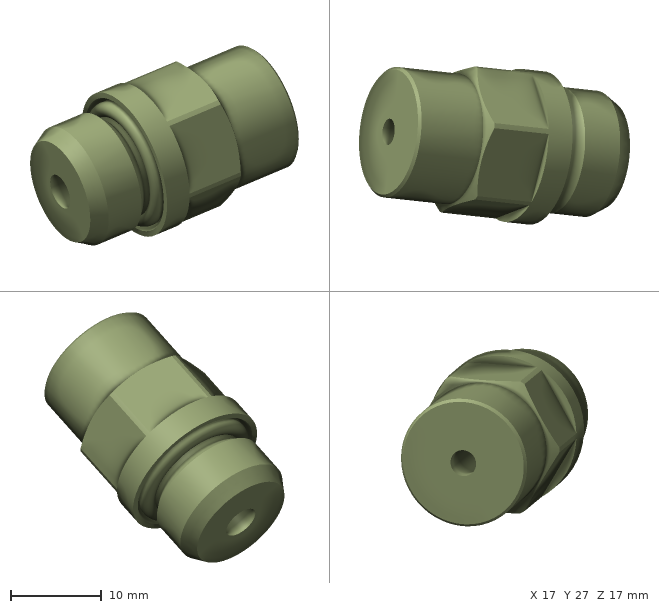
import cadquery as cq
import math

thread_end = 6.13
flange_front = 8.5
flange_back = 11.5
hex_back = 19.0
total_length = 27.0

thread_dia = 14.0
thread_tip_dia = 12.0
neck_dia = 11.7
flange_dia = 17.0
rear_dia = 14.5
hex_across_flats = 15.0

thread_tip_angle = 30.0
hex_bevel_angle = 30.0
rear_chamfer = 0.3

ring_mean_dia = 12.8
ring_section_dia = 1.9
ring_front = 7.8
groove_mouth_dia = 15.71
groove_floor_dia = ring_mean_dia + ring_section_dia
groove_depth = 1.05

front_bore_dia = 4.0
front_bore_depth = flange_back
countersink_dia = 3.55
through_bore_dia = 2.95


def revolve_about_y(profile):
    """Revolve a closed (radius, Y) profile drawn on XY around the Y axis."""
    return profile.close().revolve(360, (0, 0, 0), (0, 1, 0))


def turned_body():
    thread_tip_length = (thread_dia - thread_tip_dia) / 2 / math.tan(math.radians(thread_tip_angle))
    neck_start = thread_end + (thread_dia - neck_dia) / 2
    profile = (
        cq.Workplane("XY")
        .lineTo(thread_tip_dia / 2, 0)
        .lineTo(thread_dia / 2, thread_tip_length)
        .lineTo(thread_dia / 2, thread_end)
        .lineTo(neck_dia / 2, neck_start)
        .lineTo(neck_dia / 2, flange_front)
        .lineTo(flange_dia / 2, flange_front)
        .lineTo(flange_dia / 2, flange_back)
        .lineTo(rear_dia / 2, flange_back)
        .lineTo(rear_dia / 2, total_length - rear_chamfer)
        .lineTo(rear_dia / 2 - rear_chamfer, total_length)
        .lineTo(0, total_length)
    )
    return revolve_about_y(profile)


def hexagon():
    """Hexagon with two flats facing +Z and -Z, trimmed to the flange diameter and bevelled at the back."""
    across_corners = hex_across_flats / math.cos(math.pi / 6)
    prism = (
        cq.Workplane("XZ", origin=(0, flange_back, 0))
        .polygon(6, across_corners)
        .extrude(-(hex_back - flange_back))
    )
    bevel_length = (flange_dia - rear_dia) / 2 * math.tan(math.radians(hex_bevel_angle))
    envelope = revolve_about_y(
        cq.Workplane("XY")
        .moveTo(0, flange_back)
        .lineTo(flange_dia / 2, flange_back)
        .lineTo(flange_dia / 2, hex_back - bevel_length)
        .lineTo(rear_dia / 2, hex_back)
        .lineTo(0, hex_back)
    )
    return prism.intersect(envelope)


def seal_groove():
    """Flared annular cut outside the ring middle; the inner half of the ring is solid with the body."""
    groove_floor = flange_front + groove_depth
    return revolve_about_y(
        cq.Workplane("XY")
        .moveTo(ring_mean_dia / 2, flange_front)
        .lineTo(groove_mouth_dia / 2, flange_front)
        .lineTo(groove_floor_dia / 2, groove_floor)
        .lineTo(ring_mean_dia / 2, groove_floor)
    )


def seal_ring():
    ring_centre = ring_front + ring_section_dia / 2
    return (
        cq.Workplane("XY")
        .center(ring_mean_dia / 2, ring_centre)
        .circle(ring_section_dia / 2)
        .revolve(360, (-ring_mean_dia / 2, 0, 0), (-ring_mean_dia / 2, 1, 0))
    )


def bore():
    countersink_depth = (countersink_dia - through_bore_dia) / 2
    return revolve_about_y(
        cq.Workplane("XY")
        .lineTo(front_bore_dia / 2, 0)
        .lineTo(front_bore_dia / 2, front_bore_depth)
        .lineTo(countersink_dia / 2, front_bore_depth)
        .lineTo(through_bore_dia / 2, front_bore_depth + countersink_depth)
        .lineTo(through_bore_dia / 2, total_length)
        .lineTo(0, total_length)
    )


result = turned_body().union(hexagon()).cut(seal_groove()).union(seal_ring()).cut(bore())